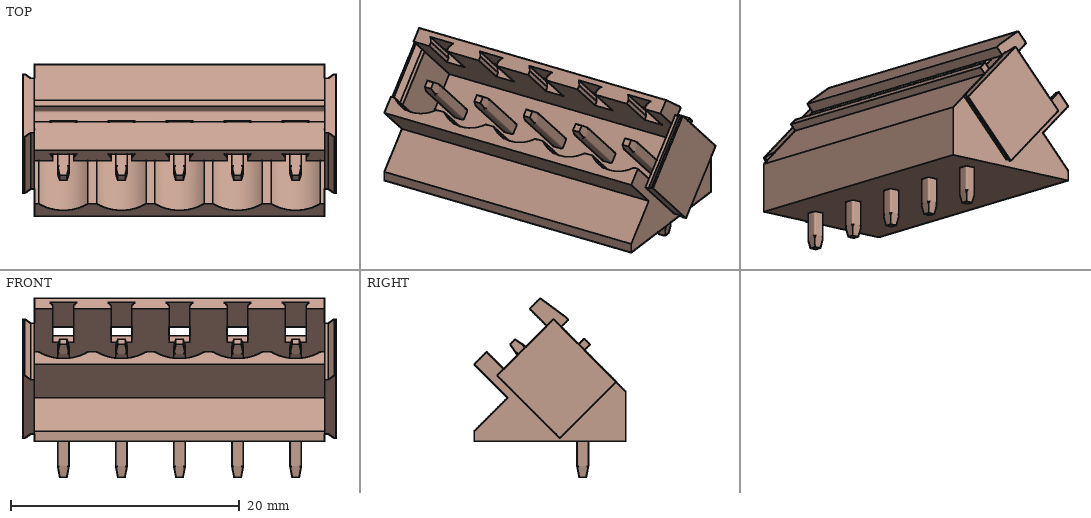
import cadquery as cq
import math


overall_length = 27.4
housing_length = 25.4
pin_count = 5
pitch = housing_length / pin_count
pin_positions = [(i - (pin_count - 1) / 2) * pitch for i in range(pin_count)]
depth = 13.3
front_reach = 9.86

wall_top = 6.95
ceiling = 6.15
hood_back_reach = 6.8
hood_back_rise = 7.86
hood_bend_reach = 7.15
hood_front_rise = 7.45
ridge_back = 3.92
ridge_front = 4.65
ridge_top = 7.67
ridge_fillet = 0.16

cavity_floor = 1.45
lip_inside = 0.82
lip_outside = -0.75
foot_reach = 5.73
scallop_chord = 4.3
scallop_depth = 0.82

keyway_end = 5.73
keyway_mouth = 1.8
keyway_width = 2.33
keyway_flare = 0.45

plate_reach = 7.75
plate_height = 7.0
plate_bevel = 0.5
plate_neck = 0.33

pin_width = 1.01
pin_fillet = 0.16
pin_tip_width = 0.63
pin_taper_length = 1.01
pin_rise = 3.05
pin_end_reach = 8.88
tail_y = 9.5
tail_end_z = -3.15

half_root = math.sqrt(0.5)
frame_y = (front_reach - lip_outside) * half_root
frame_z = 0.27
reach_direction = cq.Vector(0, -half_root, half_root)
rise_direction = cq.Vector(0, half_root, half_root)
along_row = cq.Vector(1, 0, 0)


def tilted(reach, rise):
    """(Y, Z) of a point given in the tilted frame."""
    return (frame_y + (rise - reach) * half_root, frame_z + (rise + reach) * half_root)


def mating_plane(reach):
    """Plane facing the mating direction: local x is X, local y is rise."""
    y, z = tilted(reach, 0)
    return cq.Workplane(cq.Plane((0, y, z), along_row, reach_direction))


def make_shell():
    """Full-length housing profile with the open cavity between hood and lip."""
    back_height = frame_z + wall_top / half_root - (depth - frame_y)
    foot_height = frame_z + foot_reach / half_root - frame_y
    outline = [
        (0, 0),
        (depth, 0),
        (depth, back_height),
        tilted(ridge_back, wall_top),
        tilted(ridge_back, ridge_top),
        tilted(ridge_front, ridge_top),
        tilted(ridge_front, wall_top),
        tilted(hood_back_reach, wall_top),
        tilted(hood_back_reach, hood_back_rise),
        tilted(hood_bend_reach, hood_back_rise),
        tilted(front_reach, hood_front_rise),
        tilted(front_reach, ceiling),
        tilted(cavity_floor, ceiling),
        tilted(cavity_floor, lip_inside),
        tilted(front_reach, lip_inside),
        tilted(front_reach, lip_outside),
        tilted(foot_reach, lip_outside),
        (0, foot_height),
    ]
    shell = cq.Workplane("YZ").polyline(outline).close().extrude(housing_length / 2, both=True)
    ridge_corner = (0, *tilted(ridge_front, wall_top))
    return shell.edges(cq.NearestToPointSelector(ridge_corner)).fillet(ridge_fillet)


def make_end_plate(side):
    """Plate with bevelled front and rear edges; side is -1 or 1."""
    inner = housing_length / 2
    neck = inner + plate_neck
    rim = neck + plate_bevel
    outer = overall_length / 2
    front_bevel = plate_reach - plate_bevel
    outline = [
        (inner, plate_bevel),
        (neck, plate_bevel),
        (rim, 0),
        (outer, 0),
        (outer, plate_reach),
        (rim, plate_reach),
        (neck, front_bevel),
        (inner, front_bevel),
    ]
    y, z = tilted(0, plate_height)
    top = cq.Workplane(cq.Plane((0, y, z), along_row, -rise_direction))
    return top.polyline([(side * x, reach) for x, reach in outline]).close().extrude(plate_height)


def make_scallop(x):
    """Round trough in the lip beneath one pin."""
    half_chord = scallop_chord / 2
    arc_start = mating_plane(cavity_floor).center(x, lip_inside).moveTo(-half_chord, 0)
    segment = arc_start.threePointArc((0, -scallop_depth), (half_chord, 0)).close()
    return segment.extrude(front_reach - cavity_floor)


def make_keyway(x):
    """Dovetail slot above one pin, flared at its top and open to the cavity."""
    half_mouth = keyway_mouth / 2
    half_width = keyway_width / 2
    flare_start = wall_top - keyway_flare
    right = [(half_mouth, ceiling), (half_mouth, flare_start), (half_width, wall_top)]
    left = [(-across, rise) for across, rise in reversed(right)]
    slot = mating_plane(keyway_end).center(x, 0).polyline(right + left).close()
    return slot.extrude(front_reach - keyway_end)


def make_tip_waste(end_plane):
    """Material around the tapered tip that ends at the given outward-facing plane."""
    draft = math.degrees(math.atan((pin_width - pin_tip_width) / 2 / pin_taper_length))
    block = end_plane.rect(2 * pin_width, 2 * pin_width).extrude(-pin_taper_length)
    shoulder = end_plane.workplane(offset=-pin_taper_length)
    return block.cut(shoulder.rect(pin_width, pin_width).extrude(pin_taper_length, taper=draft))


def make_pin(x):
    """Bent pin: a vertical tail and a mating leg, mitred inside the housing."""
    elbow_reach = pin_rise - (tail_y - frame_y) / half_root
    tail_end = (tail_y, tail_end_z)
    path = cq.Workplane("YZ", origin=(x, 0, 0)).polyline(
        [tail_end, tilted(elbow_reach, pin_rise), tilted(pin_end_reach, pin_rise)]
    )
    section = cq.Sketch().rect(pin_width, pin_width).vertices().fillet(pin_fillet)
    tail_start = cq.Workplane("XY", origin=(x, tail_y, tail_end_z))
    rod = tail_start.placeSketch(section).sweep(path, transition="right")
    tail_plane = cq.Workplane(cq.Plane((x, tail_y, tail_end_z), along_row, (0, 0, -1)))
    mating_end = mating_plane(pin_end_reach).center(x, pin_rise)
    return rod.cut(make_tip_waste(tail_plane)).cut(make_tip_waste(mating_end))


pins = [make_pin(x) for x in pin_positions]

housing = make_shell()
for side in (-1, 1):
    housing = housing.union(make_end_plate(side))
for x in pin_positions:
    housing = housing.cut(make_scallop(x)).cut(make_keyway(x))
for pin in pins:
    housing = housing.cut(pin)

pin_solids = [pin.solids().val() for pin in pins]
result = cq.Compound.makeCompound([housing.solids().val(), *pin_solids])